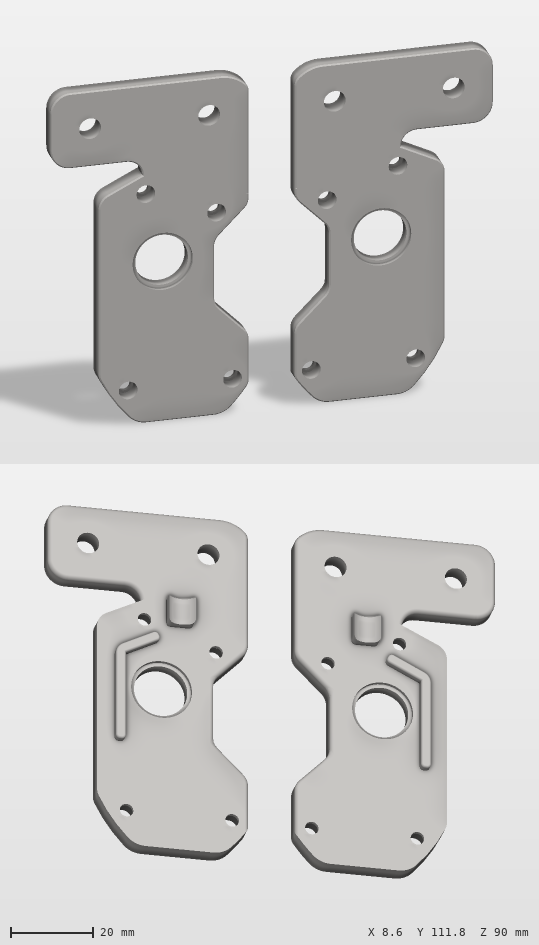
import cadquery as cq
import math


plate_thickness = 5.0
plate_height = 90.0
inner_y = 5.8
outer_y = 55.9
arm_bottom_z = plate_height - 20.0
arm_corner_radius = 5.0
top_arc_radius = 8.9
top_arc_start_y = 13.0
notch_radius = 4.0
notch_end_y = 32.6
notch_end_z = arm_bottom_z - notch_radius
joint_z = 58.1
corner_radius = 4.0
blend_radius = 3.0
front_round = 1.0
back_chamfer = 0.3

case_axis_y = 23.1
case_half_width = 20.6
case_shoulder_angle = 26.0
case_side_end_z = 13.3
case_flank_middle = (17.2, 7.3)
case_foot_half_width = 11.0
case_foot_radius = 6.0

waist_center_z = 38.1
waist_depth = 8.7
waist_half_floor = 8.5

mount_hole_diameter = 5.5
mount_hole_pitch = 30.0
mount_hole_y = 15.9
mount_hole_z = 80.1
screw_hole_diameter = 3.4
screw_head_diameter = 4.7
screw_web = 1.0
screw_foot_offset = 13.2
screw_centers = [
    (case_axis_y - screw_foot_offset, 9.2),
    (case_axis_y + screw_foot_offset, 9.2),
    (14.0, 54.0),
    (31.8, 61.0),
]
bore_center = (27.6, 42.6)
bore_diameter = 13.3
bore_seat_diameter = 15.2
bore_seat_depth = 1.0

lug_width = 6.6
lug_height = 7.2
lug_bottom_z = 59.7
lug_reach = 3.6
saddle_radius = 4.0
lug_corner_radius = 1.0
lug_top_chamfer = 0.3

rib_width = 2.5
rib_reach = 2.0
rib_outer_y = 39.3
rib_bend_z = 52.4
rib_bottom_z = 27.6
rib_arm_length = 11.4
rib_arm_angle = 26.6
rib_end_radius = 1.0
rib_edge_round = 0.5


def round_corners(body, corners, radius):
    """Round the edges along X that stand on the given (Y, Z) corners."""
    for y, z in corners:
        corner = cq.selectors.NearestToPointSelector((body.val().Center().x, y, z))
        body = body.edges("|X").edges(corner).fillet(radius)
    return body


def arc_point(center, radius, angle):
    """Point on a circle at the given angle in degrees, measured from +Y towards +Z."""
    turn = math.radians(angle)
    return (center[0] + radius * math.cos(turn), center[1] + radius * math.sin(turn))


def make_bracket():
    """Upper part of the plate: the mounting arm down to its joint with the gear case."""
    top_arc_center = (top_arc_start_y, plate_height - top_arc_radius)
    top_arc_end_angle = 180 - math.degrees(math.acos((top_arc_start_y - inner_y) / top_arc_radius))
    top_arc_end = arc_point(top_arc_center, top_arc_radius, top_arc_end_angle)
    top_arc_middle = arc_point(top_arc_center, top_arc_radius, (90 + top_arc_end_angle) / 2)

    notch_center = (notch_end_y + notch_radius, notch_end_z)
    arm_corners = [(outer_y, plate_height), (outer_y, arm_bottom_z)]
    bracket = (
        cq.Workplane("YZ")
        .moveTo(top_arc_start_y, plate_height)
        .lineTo(*arm_corners[0])
        .lineTo(*arm_corners[1])
        .lineTo(notch_center[0], arm_bottom_z)
        .threePointArc(arc_point(notch_center, notch_radius, 135), (notch_end_y, notch_end_z))
        .lineTo(notch_end_y, joint_z)
        .lineTo(inner_y, joint_z)
        .lineTo(*top_arc_end)
        .threePointArc(top_arc_middle, (top_arc_start_y, plate_height))
        .close()
        .extrude(plate_thickness)
    )
    bracket = round_corners(bracket, arm_corners, arm_corner_radius)
    bracket = round_corners(bracket, [top_arc_end], blend_radius)
    bracket = bracket.faces("<X").edges("not <Z").fillet(front_round)
    return bracket.faces(">X").edges("not <Z").chamfer(back_chamfer)


def make_gear_case():
    """Lower part of the plate, with its peak reaching into the bracket."""
    case_outer_y = case_axis_y + case_half_width
    case_inner_y = case_axis_y - case_half_width
    shoulder_slope = math.tan(math.radians(case_shoulder_angle))
    shoulder = (case_outer_y, notch_end_z - (case_outer_y - notch_end_y) * shoulder_slope)
    peak = (case_axis_y, notch_end_z + (notch_end_y - case_axis_y) * shoulder_slope)

    flank_start = (case_outer_y, case_side_end_z)
    flank_offset, flank_z = case_flank_middle
    foot = [(case_axis_y + side * case_foot_half_width, 0) for side in (1, -1)]

    waist_floor_y = inner_y + waist_depth
    waist_half_mouth = waist_half_floor + waist_depth
    waist_mouth = [(inner_y, waist_center_z + side * waist_half_mouth) for side in (-1, 1)]
    waist_floor = [(waist_floor_y, waist_center_z + side * waist_half_floor) for side in (-1, 1)]

    case = (
        cq.Workplane("YZ")
        .moveTo(*peak)
        .lineTo(*shoulder)
        .lineTo(*flank_start)
        .threePointArc((case_axis_y + flank_offset, flank_z), foot[0])
        .lineTo(*foot[1])
        .threePointArc((case_axis_y - flank_offset, flank_z), (case_inner_y, case_side_end_z))
        .lineTo(case_inner_y, waist_mouth[0][1])
        .lineTo(*waist_mouth[0])
        .lineTo(*waist_floor[0])
        .lineTo(*waist_floor[1])
        .lineTo(*waist_mouth[1])
        .lineTo(inner_y, joint_z)
        .close()
        .extrude(plate_thickness)
    )
    inner_trim = cq.Workplane("YZ").rect(2 * inner_y, 3 * plate_height).extrude(plate_thickness)
    case = case.cut(inner_trim)
    case = round_corners(case, [shoulder, flank_start] + waist_mouth, corner_radius)
    case = round_corners(case, foot, case_foot_radius)
    rounded_foot = round_corners(case, [(inner_y, flank_z)], blend_radius)

    inner_edges = cq.selectors.BoxSelector((-1.1, 0, flank_z), (1.1, waist_floor_y + 1.1, joint_z))
    case = case.faces("<X").edges(inner_edges).fillet(front_round)
    case = case.intersect(rounded_foot)
    case = round_corners(case, waist_floor, corner_radius)

    return case.faces(">X").edges("not >Z").chamfer(back_chamfer)


def make_plate():
    return make_bracket().union(make_gear_case())


def cut_holes(plate):
    mount_centers = [(mount_hole_y + i * mount_hole_pitch, mount_hole_z) for i in range(2)]
    through_holes = [
        (mount_centers, mount_hole_diameter),
        (screw_centers, screw_hole_diameter),
        ([bore_center], bore_diameter),
    ]
    for centers, diameter in through_holes:
        plate = plate.cut(cylinders(centers, diameter, 0, plate_thickness))
    for seat_start in (0, plate_thickness - bore_seat_depth):
        seat = cylinders([bore_center], bore_seat_diameter, seat_start, seat_start + bore_seat_depth)
        plate = plate.cut(seat)
    return plate.cut(cylinders(screw_centers, screw_head_diameter, screw_web, plate_thickness))


def cylinders(centers, diameter, start_x, end_x):
    base = cq.Workplane("YZ", origin=(start_x, 0, 0))
    return base.pushPoints(centers).circle(diameter / 2).extrude(end_x - start_x)


def make_lug():
    """Block standing on the front face, hollowed by a cylinder along Z."""
    lug_center_z = lug_bottom_z + lug_height / 2
    lug = (
        cq.Workplane("YZ")
        .center(case_axis_y, lug_center_z)
        .rect(lug_width, lug_height)
        .extrude(-lug_reach)
    )
    lug = lug.edges("|X and <Z").fillet(lug_corner_radius)
    saddle_axis_x = -lug_reach - math.sqrt(saddle_radius**2 - (lug_width / 2) ** 2)
    saddle = (
        cq.Workplane("XY", origin=(saddle_axis_x, case_axis_y, lug_bottom_z))
        .circle(saddle_radius)
        .extrude(lug_height)
    )
    return lug.cut(saddle).faces(">Z").edges("%CIRCLE").chamfer(lug_top_chamfer)


def make_rib():
    """Bent rib on the front face: a leg along Z and an arm sloping up to the inner side."""
    slope = math.radians(rib_arm_angle)
    outer_bend = (rib_outer_y, rib_bend_z)
    arm_tip = (
        rib_outer_y - rib_arm_length * math.cos(slope),
        rib_bend_z + rib_arm_length * math.sin(slope),
    )
    arm_heel = (arm_tip[0] - rib_width * math.sin(slope), arm_tip[1] - rib_width * math.cos(slope))
    rib_inner_y = rib_outer_y - rib_width
    inner_bend_drop = rib_width * math.tan(math.pi / 4 - slope / 2)
    inner_bend = (rib_inner_y, rib_bend_z - inner_bend_drop)
    leg_end = [(rib_inner_y, rib_bottom_z), (rib_outer_y, rib_bottom_z)]

    outline = [outer_bend, arm_tip, arm_heel, inner_bend] + leg_end
    rib = cq.Workplane("YZ").polyline(outline).close().extrude(-rib_reach)
    rib = round_corners(rib, [arm_tip, arm_heel] + leg_end, rib_end_radius)
    rib = round_corners(rib, [outer_bend], blend_radius)
    return rib.faces("<X").edges().fillet(rib_edge_round)


plate = cut_holes(make_plate()).union(make_lug()).union(make_rib())
mirrored_plate = plate.mirror("XZ")

result = cq.Compound.makeCompound([plate.val(), mirrored_plate.val()])